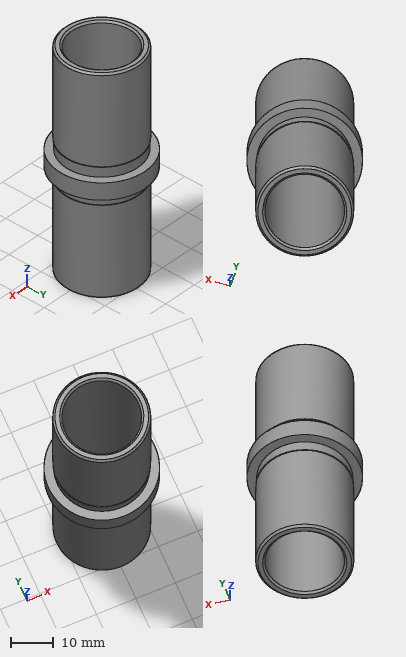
import cadquery as cq

length = 65.0
tube_diameter = 22.8
bore_diameter = 18.5
neck_diameter = 22.4
neck_width = 3.0
collar_diameter = 26.9
collar_width = 5.0
end_chamfer = 0.5


def cylinder(diameter, height):
    """Cylinder on the Z axis, centred on the origin."""
    return cq.Workplane("XY", origin=(0, 0, -height / 2)).circle(diameter / 2).extrude(height)


def grooved_tube():
    """Tube body with the shallow central groove that leaves a neck on each side of the collar."""
    groove_width = collar_width + 2 * neck_width
    tube = cylinder(tube_diameter, length)
    groove = cylinder(collar_diameter, groove_width).cut(cylinder(neck_diameter, groove_width))
    return tube.cut(groove)


body = grooved_tube().union(cylinder(collar_diameter, collar_width))

body = body.cut(cylinder(bore_diameter, length))

result = body.faces("<Z or >Z").edges().chamfer(end_chamfer)